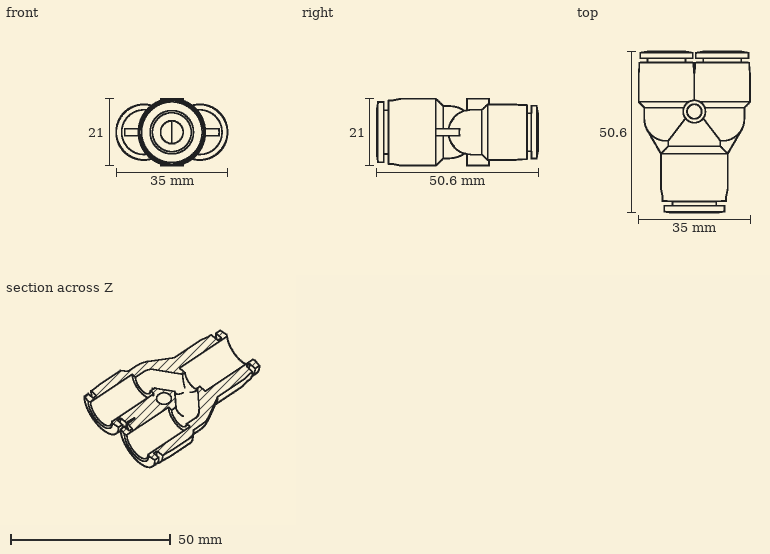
import cadquery as cq
import math


overall_length = 50.65
overall_width = 35.0
body_height = 21.0

large_body_radius = body_height / 2
large_cap_radius = 10.0
large_ring_radius = 9.5
large_groove_radius = 6.9
large_mouth_radius = 6.8
large_lip_radius = 6.4
large_bore_radius = 6.1
large_neck_radius = 8.25
large_ring_end = 2.3
large_cap_start = 3.75
large_cap_end = 5.1
large_taper_end = 7.5
large_body_end = 18.6
large_neck_start = 20.9
large_neck_end = 22.8
large_bore_depth = 20.0

branch_overlap = 0.02
branch_body_radius = overall_width / 4 + branch_overlap / 2
branch_offset = overall_width / 2 - branch_body_radius
branch_cap_radius = 8.55
branch_ring_radius = 8.3
branch_groove_radius = 6.0
branch_mouth_radius = 5.8
branch_lip_radius = 5.4
branch_bore_radius = 5.1
branch_neck_radius = 7.0
branch_ring_end = 2.15
branch_cap_start = 3.5
branch_cap_end = 4.75
branch_taper_end = 7.3
branch_body_end = 15.85
branch_neck_start = 17.6
branch_neck_end = 21.15
branch_bore_depth = 17.6

ring_face_rise = 0.45
cap_face_rise = 0.15
mouth_chamfer = 0.2

channel_radius = 3.55
lug_radius = 3.5
lug_hole_radius = 2.25
lug_y = 31.8
web_thickness = 2.1

hub_center = (0, large_neck_end)
branch_center = (branch_offset, overall_length - branch_neck_end)


def revolve_y(outline):
    """Revolve an open (radius, distance) outline, closed along the Y axis, about that axis."""
    return outline.close().revolve(360, (0, 0, 0), (0, 1, 0))


def port_body(ring, groove, mouth, cap, body, neck, ring_end, cap_start, cap_end, taper_end,
              body_end, neck_start, neck_end):
    """Solid port with its mouth at Y = 0: release ring, groove, tapered cap, body and round neck."""
    outline = [
        (0, 0),
        (mouth, 0),
        (ring, ring_face_rise),
        (ring, ring_end),
        (groove, ring_end),
        (groove, cap_start - cap_face_rise),
        (cap, cap_start),
        (cap, cap_end),
        (body, taper_end),
        (body, body_end),
        (neck, neck_start),
        (neck, neck_end),
    ]
    dome_middle = (neck * math.sqrt(0.5), neck_end + neck * math.sqrt(0.5))
    dome_tip = (0, neck_end + neck)
    return revolve_y(cq.Workplane("XY").polyline(outline).threePointArc(dome_middle, dome_tip))


def port_bore(mouth, lip, bore, depth, channel_end):
    """Tube socket with a two-step lead-in, continued by a narrower channel."""
    outline = [
        (0, 0),
        (mouth, 0),
        (lip, mouth_chamfer),
        (bore, 2 * mouth_chamfer),
        (bore, depth),
        (channel_radius, depth),
        (channel_radius, channel_end),
        (0, channel_end),
    ]
    return revolve_y(cq.Workplane("XY").polyline(outline))


def to_branches(port):
    """Turn a port made at the origin to face +Y and copy it to both branches."""
    turned = port.rotate((0, 0, 0), (0, 0, 1), 180).translate((branch_offset, overall_length, 0))
    return both_sides(turned)


def both_sides(shape):
    """Join a shape with its mirror image across X = 0."""
    return shape.union(shape.mirror("YZ"))


def cross_channel():
    """Slanted channel from the large port to one branch, with a rounded elbow at the branch."""
    run_x = branch_center[0] - hub_center[0]
    run_y = branch_center[1] - hub_center[1]
    plane = cq.Plane(origin=(*hub_center, 0), xDir=(0, 0, 1), normal=(run_x, run_y, 0))
    channel = cq.Workplane(plane).circle(channel_radius).extrude(math.hypot(run_x, run_y))
    elbow = cq.Workplane("XY").sphere(channel_radius).translate((*branch_center, 0))
    return channel.union(elbow)


def side_web():
    """Flat web from the shoulder of the large body, tangent to the branch dome."""
    shoulder = (large_body_radius, large_body_end)
    to_shoulder_x = shoulder[0] - branch_center[0]
    to_shoulder_y = shoulder[1] - branch_center[1]
    distance = math.hypot(to_shoulder_x, to_shoulder_y)
    tangent_angle = math.atan2(to_shoulder_y, to_shoulder_x) + math.acos(branch_neck_radius / distance)
    tangent_point = (
        branch_center[0] + branch_neck_radius * math.cos(tangent_angle),
        branch_center[1] + branch_neck_radius * math.sin(tangent_angle),
    )
    inner_corner = (large_bore_radius, large_body_end)
    outline = [inner_corner, shoulder, tangent_point, branch_center, hub_center]
    return cq.Workplane("XY").polyline(outline).close().extrude(web_thickness / 2, both=True)


def lug_cylinder(radius):
    """Vertical cylinder over the full height of the part, on the axis of the mounting lug."""
    return cq.Workplane("XY").center(0, lug_y).circle(radius).extrude(body_height / 2, both=True)


large_body = port_body(
    large_ring_radius, large_groove_radius, large_mouth_radius, large_cap_radius, large_body_radius,
    large_neck_radius, large_ring_end, large_cap_start, large_cap_end, large_taper_end,
    large_body_end, large_neck_start, large_neck_end)
branch_body = port_body(
    branch_ring_radius, branch_groove_radius, branch_mouth_radius, branch_cap_radius, branch_body_radius,
    branch_neck_radius, branch_ring_end, branch_cap_start, branch_cap_end, branch_taper_end,
    branch_body_end, branch_neck_start, branch_neck_end)
large_bore = port_bore(
    large_mouth_radius, large_lip_radius, large_bore_radius, large_bore_depth, large_neck_end)
branch_bore = port_bore(
    branch_mouth_radius, branch_lip_radius, branch_bore_radius, branch_bore_depth, branch_neck_end)

result = (
    large_body
    .union(to_branches(branch_body))
    .union(both_sides(side_web()))
    .union(lug_cylinder(lug_radius))
    .cut(large_bore)
    .cut(to_branches(branch_bore))
    .cut(both_sides(cross_channel()))
    .cut(lug_cylinder(lug_hole_radius))
)